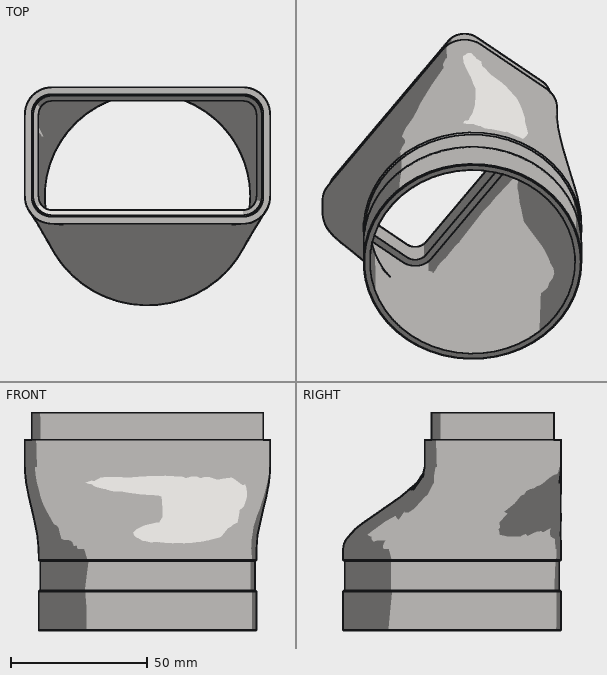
import cadquery as cq
import math

total_height = 80.0
spigot_height = 10.0
collar_height = 10.0
transition_bottom = 30.0
collar_top = total_height - spigot_height
collar_bottom = collar_top - collar_height

socket_diameter = 80.0
bore_diameter = 75.2
groove_diameter = 78.8
groove_bottom = 14.4
groove_top = 26.1
socket_edge_chamfer = 0.4

collar_length = 90.0
collar_width = 50.0
collar_radius = 10.0
wall = 2.5
collar_center_y = (socket_diameter - collar_width) / 2
rim_bevel = 1.9

side_seam_angle = 18.4
corner_seam_angle = 40.4
transition_steps = 6
straight_tolerance = 9e-07


def rectangle_block(inset, bottom, height):
    """Rounded rectangular prism, inset from the collar outline."""
    return (
        cq.Workplane("XY", origin=(0, collar_center_y, bottom))
        .rect(collar_length - 2 * inset, collar_width - 2 * inset)
        .extrude(height)
        .edges("|Z")
        .fillet(collar_radius - inset)
    )


def cylinder(diameter, bottom, top):
    return cq.Workplane("XY", origin=(0, 0, bottom)).circle(diameter / 2).extrude(top - bottom)


def rectangle_points(inset):
    """Ends and midpoints of the rectangle's sides and corner arcs, counter-clockwise from +X."""
    half_length = collar_length / 2 - inset
    half_width = collar_width / 2 - inset
    corner_x = collar_length / 2 - collar_radius
    corner_y = collar_width / 2 - collar_radius
    diagonal = (collar_radius - inset) * math.sqrt(0.5)
    quarter = [
        (half_length, 0),
        (half_length, corner_y),
        (corner_x + diagonal, corner_y + diagonal),
        (corner_x, half_width),
    ]
    return [(x, y + collar_center_y) for x, y in mirror_quarter(quarter, (0, half_width))]


def circle_points(diameter):
    """Points on the circle matching those of the rectangle."""
    radius = diameter / 2
    middle_angle = (side_seam_angle + corner_seam_angle) / 2
    quarter = []
    for angle in (0, side_seam_angle, middle_angle, corner_seam_angle):
        direction = math.radians(angle)
        quarter.append((radius * math.cos(direction), radius * math.sin(direction)))
    return mirror_quarter(quarter, (0, radius))


def mirror_quarter(quarter, back):
    """Complete an outline from its first quarter and its rearmost point."""
    half = quarter + [back] + [(-x, y) for x, y in reversed(quarter)]
    return half + [(x, -y) for x, y in reversed(half[1:-1])]


def section_wire(points, height):
    """Closed outline of eight arcs; every even point is the middle of an arc."""
    vertices = [cq.Vector(x, y, height) for x, y in points]
    edges = []
    for middle in range(0, len(vertices), 2):
        start = vertices[middle - 1]
        center = vertices[middle]
        end = vertices[middle + 1]
        if (start + end - center * 2).Length < straight_tolerance:
            edges.append(cq.Edge.makeLine(start, end))
        else:
            edges.append(cq.Edge.makeThreePointArc(start, center, end))
    return cq.Wire.assembleEdges(edges)


def flank_point(low, high, rise):
    """Point on a cubic from circle to rectangle: upright at the top, tangent to the socket below."""
    low_point = cq.Vector(*low)
    shift = cq.Vector(*high) - low_point
    tangent = cq.Vector(-low[1], low[0]).normalized()
    blend = rise**2 * (3 - 2 * rise)
    drift = shift.dot(tangent) * rise * (1 - rise) ** 2
    point = low_point + shift * blend + tangent * drift
    return point.x, point.y


def transition(inset, diameter):
    """Smooth body that changes from the circle to the rectangle along S-shaped flanks."""
    sections = []
    for step in range(transition_steps + 1):
        rise = step / transition_steps
        points = [
            flank_point(low, high, rise)
            for low, high in zip(circle_points(diameter), rectangle_points(inset))
        ]
        height = transition_bottom + rise * (collar_bottom - transition_bottom)
        sections.append(section_wire(points, height))
    return cq.Workplane(cq.Solid.makeLoft(sections))


def groove_cutter():
    """Ring that cuts the seal groove, with 45 degree flanks."""
    depth = (socket_diameter - groove_diameter) / 2
    outer = socket_diameter / 2
    inner = groove_diameter / 2
    return (
        cq.Workplane("XZ")
        .polyline([
            (outer, groove_bottom),
            (inner, groove_bottom + depth),
            (inner, groove_top - depth),
            (outer, groove_top),
        ])
        .close()
        .revolve(360, (0, 0, 0), (0, 1, 0))
    )


socket = cylinder(socket_diameter, 0, transition_bottom).faces("<Z").chamfer(socket_edge_chamfer)
socket = socket.cut(groove_cutter())
collar = rectangle_block(0, collar_bottom, collar_height)
spigot = rectangle_block(wall, collar_top, spigot_height)
body = socket.union(transition(0, socket_diameter)).union(collar).union(spigot)

bore = cylinder(bore_diameter, 0, transition_bottom)
collar_passage = rectangle_block(wall, collar_bottom, collar_height - wall)
spigot_passage = rectangle_block(2 * wall, collar_bottom, total_height - collar_bottom)
rim_bottom = total_height - rim_bevel
rim_cutter = rectangle_block(2 * wall - rim_bevel, rim_bottom, 2 * rim_bevel)
rim_cutter = rim_cutter.faces("<Z").chamfer(rim_bevel)
passages = (bore, transition(wall, bore_diameter), collar_passage, spigot_passage, rim_cutter)

result = body
for passage in passages:
    result = result.cut(passage)